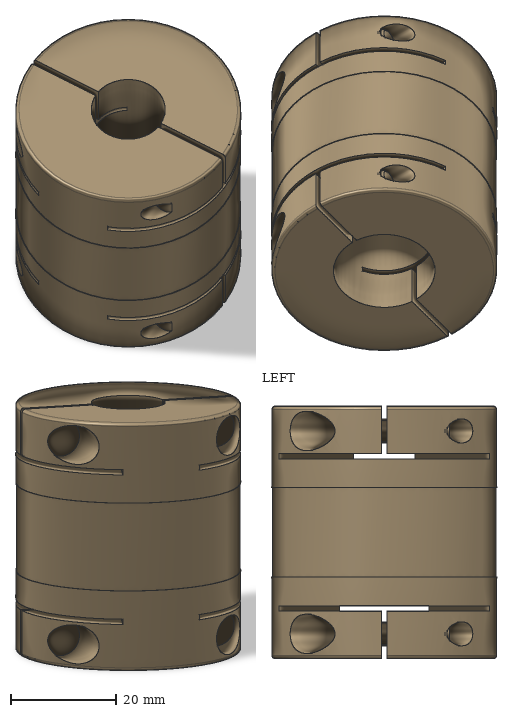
import cadquery as cq
import math

LENGTH = 48.0
HUB_DIAMETER = 42.8
SLEEVE_DIAMETER = 42.6
HUB_LENGTH = 15.5
RIM_FILLET = 0.6

TOP_BORE_DIAMETER = 14.0
BOTTOM_BORE_DIAMETER = 19.3

CUT_WIDTH = 1.0
CLAMP_HEIGHT = 9.0
BRIDGE_HALF_WIDTH = 7.7
CUT_WALL_ANGLE = 15.0

SCREW_OFFSET = 15.5
SCREW_DEPTH = 4.7
SCREW_HOLE_DIAMETER = 4.55
SLIM_SCREW_DIAMETER = 4.05
HEAD_HOLE_DIAMETER = 7.5
HEAD_SEAT_Y = 6.0
TIP_Y = -12.4
TIP_CHAMFER = 0.45
TIP_PROTRUSION = 0.85

HUB_RADIUS = HUB_DIAMETER / 2
HALF_LENGTH = LENGTH / 2
ENDS = (-1, 1)
SIDES = (-1, 1)


def cylinder_z(diameter, z_start, z_end):
    return cq.Workplane("XY", origin=(0, 0, z_start)).circle(diameter / 2).extrude(z_end - z_start)


def cylinder_y(diameter, x, z, y_start, y_end):
    return (
        cq.Workplane("XZ", origin=(x, y_start, z))
        .circle(diameter / 2)
        .extrude(y_start - y_end)
    )


def make_body():
    hubs = cylinder_z(HUB_DIAMETER, 0, LENGTH).faces("<Z or >Z").edges().fillet(RIM_FILLET)
    waist = cylinder_z(HUB_DIAMETER, HUB_LENGTH, LENGTH - HUB_LENGTH).cut(
        cylinder_z(SLEEVE_DIAMETER, HUB_LENGTH, LENGTH - HUB_LENGTH)
    )
    bores = cylinder_z(BOTTOM_BORE_DIAMETER, 0, HALF_LENGTH).union(
        cylinder_z(TOP_BORE_DIAMETER, HALF_LENGTH, LENGTH)
    )
    return hubs.cut(waist).cut(bores)


def make_cross_cut(side, z_low):
    """Wedge-shaped cut on the given X side; its two tilted walls meet near the axis."""
    edge_y = math.sqrt(HUB_RADIUS**2 - BRIDGE_HALF_WIDTH**2)
    slope = math.tan(math.radians(CUT_WALL_ANGLE))
    apex_x = BRIDGE_HALF_WIDTH - edge_y * slope
    far_x = apex_x + HUB_RADIUS * slope
    return (
        cq.Workplane("XY", origin=(0, 0, z_low))
        .polyline([
            (side * apex_x, 0),
            (side * far_x, HUB_RADIUS),
            (side * HUB_DIAMETER, HUB_RADIUS),
            (side * HUB_DIAMETER, -HUB_RADIUS),
            (side * far_x, -HUB_RADIUS),
        ])
        .close()
        .extrude(CUT_WIDTH)
    )


def make_split(end):
    """Slit along X that divides a clamp into two jaws."""
    center_z = HALF_LENGTH + end * (HALF_LENGTH - CLAMP_HEIGHT / 2)
    return cq.Workplane("XY", origin=(0, 0, center_z)).box(HUB_DIAMETER, CUT_WIDTH, CLAMP_HEIGHT)


def cut_clamp(part, end):
    """Free the jaws of one clamp with a split and two cross cuts."""
    cut_center_z = HALF_LENGTH + end * (HALF_LENGTH - CLAMP_HEIGHT - CUT_WIDTH / 2)
    part = part.cut(make_split(end))
    for side in SIDES:
        part = part.cut(make_cross_cut(side, cut_center_z - CUT_WIDTH / 2))
    return part


def add_screw(part, end, side):
    """Head hole, tip hole and the shank crossing the split; the jaws hold the rest of the screw."""
    x = side * SCREW_OFFSET
    z = HALF_LENGTH + end * (HALF_LENGTH - SCREW_DEPTH)
    is_slim = side < 0
    shank_diameter = SLIM_SCREW_DIAMETER if is_slim else SCREW_HOLE_DIAMETER
    floor_y = TIP_Y + TIP_PROTRUSION if is_slim else TIP_Y

    part = part.cut(cylinder_y(HEAD_HOLE_DIAMETER, x, z, HEAD_SEAT_Y, HUB_RADIUS))
    part = part.cut(cylinder_y(SCREW_HOLE_DIAMETER, x, z, -HUB_RADIUS, floor_y))
    part = part.union(cylinder_y(shank_diameter, x, z, -CUT_WIDTH, CUT_WIDTH))
    if is_slim:
        tip = cylinder_y(shank_diameter, x, z, TIP_Y, floor_y).faces("<Y").chamfer(TIP_CHAMFER)
        part = part.union(tip)
    return part


result = make_body()
for end in ENDS:
    result = cut_clamp(result, end)
    for side in SIDES:
        result = add_screw(result, end, side)